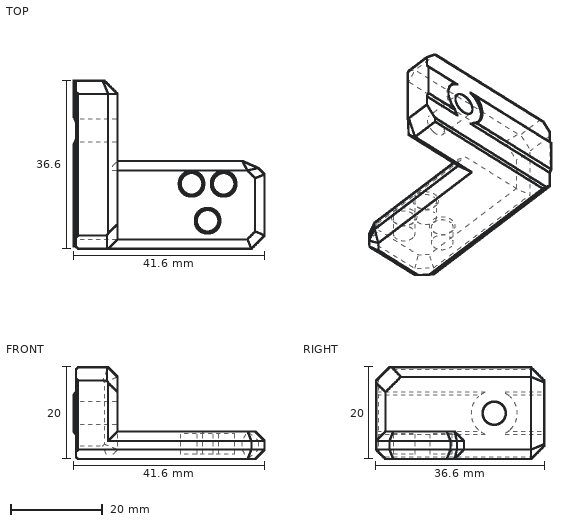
import cadquery as cq

length = 41.6
width = 36.6
height = 20.0
mid_height = height / 2

plate_left = 0.5
plate_right = 9.6
left_bevel = 0.5
edge_bevel = 2.1
corner_cut = 2.9
front_corner_cut_inner = 7.5
front_corner_depth = 2.35

arm_root = 5.0
arm_width = 19.15
arm_height = 6.07
back_facet_start = 4.9
back_facet_end_x = 1.37

rail_base_half = 4.6
rail_top_half = 3.95
bore_y = 25.7
bore_diameter = 5.0
relief_diameter = 10.0

socket_diameter = 4.7
socket_mouth_diameter = 5.57
socket_depth = 5.0
socket_x = 29.15
socket_spacing = 7.0
socket_front_y = 6.1
socket_back_y = 14.15

diagonal = 2**0.5

cutter_size = 3 * length


def trim(body, point, outward):
    """Remove everything beyond the plane through point, on its outward side."""
    plane = cq.Plane(origin=point, normal=outward)
    cutter = cq.Workplane(plane).rect(cutter_size, cutter_size).extrude(cutter_size)
    return body.cut(cutter)


def block(x_min, x_max, y_max, z_max):
    return cq.Workplane("XY").box(x_max - x_min, y_max, z_max, centered=False).translate((x_min, 0, 0))


def make_plate():
    plate = block(plate_left, plate_right, width, height)

    plate = trim(plate, (plate_left + left_bevel, 0, 0), (-1, -1, 0))

    plate = trim(plate, (plate_left, edge_bevel, 0), (0, -1, -1))
    plate = trim(plate, (plate_right - edge_bevel, 0, 0), (1, -1, 0))

    plate = trim(plate, (plate_right - corner_cut, width, 0), (1, 1, 0))

    for z, up in ((0, -1), (height, 1)):
        plate = trim(plate, (plate_left + left_bevel, 0, z), (-1, 0, up))
        plate = trim(plate, (plate_right - edge_bevel, 0, z), (1, 0, up))
        plate = trim(plate, (plate_left, width - corner_cut, z), (0, 1, up))
        facet_point = (plate_right - edge_bevel, width - corner_cut, z)
        plate = trim(plate, facet_point, (1, diagonal, up))

    plate = trim(plate, (plate_left, corner_cut, height), (0, -1, 1))
    bevel_slope = (front_corner_cut_inner - corner_cut) / front_corner_depth
    return trim(plate, (plate_right, front_corner_cut_inner, height), (bevel_slope, -1, 1))


def make_arm():
    arm = block(arm_root, length, arm_width, arm_height)

    arm = trim(arm, (length, corner_cut, 0), (1, -1, 0))
    arm = trim(arm, (length, arm_width - corner_cut, 0), (1, 1, 0))

    facet_run = back_facet_start - back_facet_end_x
    facet_drop = corner_cut - back_facet_end_x
    facet_start_x = length - back_facet_start
    arm = trim(arm, (facet_start_x, arm_width, 0), (facet_drop, facet_run, 0))

    diagonal_inset = corner_cut + edge_bevel * diagonal
    top_x = length - (diagonal_inset - edge_bevel)
    top_y = arm_width - edge_bevel
    facet_bevel_rise = (
        facet_drop * (top_x - facet_start_x) + facet_run * (top_y - arm_width)
    ) / -edge_bevel

    for z, up in ((0, -1), (arm_height, 1)):
        arm = trim(arm, (length, edge_bevel, z), (0, -1, up))
        arm = trim(arm, (length, top_y, z), (0, 1, up))
        arm = trim(arm, (length - edge_bevel, 0, z), (1, 0, up))
        arm = trim(arm, (length, diagonal_inset, z), (1, -1, up * diagonal))
        arm = trim(arm, (length, arm_width - diagonal_inset, z), (1, 1, up * diagonal))
        arm = trim(arm, (top_x, top_y, z), (facet_drop, facet_run, up * facet_bevel_rise))
    return arm


def make_rail():
    profile = [
        (plate_left, mid_height - rail_base_half),
        (0, mid_height - rail_top_half),
        (0, mid_height + rail_top_half),
        (plate_left, mid_height + rail_base_half),
    ]
    rail = cq.Workplane("XZ", origin=(0, left_bevel, 0)).polyline(profile).close()
    rail = rail.extrude(left_bevel - width)
    relief = cq.Workplane("YZ").center(bore_y, mid_height).circle(relief_diameter / 2)
    return rail.cut(relief.extrude(plate_left))


def make_sockets():
    places = [
        (socket_x, socket_front_y),
        (socket_x - socket_spacing / 2, socket_back_y),
        (socket_x + socket_spacing / 2, socket_back_y),
    ]
    mouth_bevel = (socket_mouth_diameter - socket_diameter) / 2
    top = cq.Workplane("XY", origin=(0, 0, arm_height)).pushPoints(places)
    holes = top.circle(socket_diameter / 2).extrude(-socket_depth)
    mouths = top.circle(socket_mouth_diameter / 2).extrude(-mouth_bevel, taper=45)
    return holes.union(mouths)


bore = cq.Workplane("YZ").center(bore_y, mid_height).circle(bore_diameter / 2).extrude(plate_right)

result = make_plate().union(make_arm()).union(make_rail()).cut(bore).cut(make_sockets())